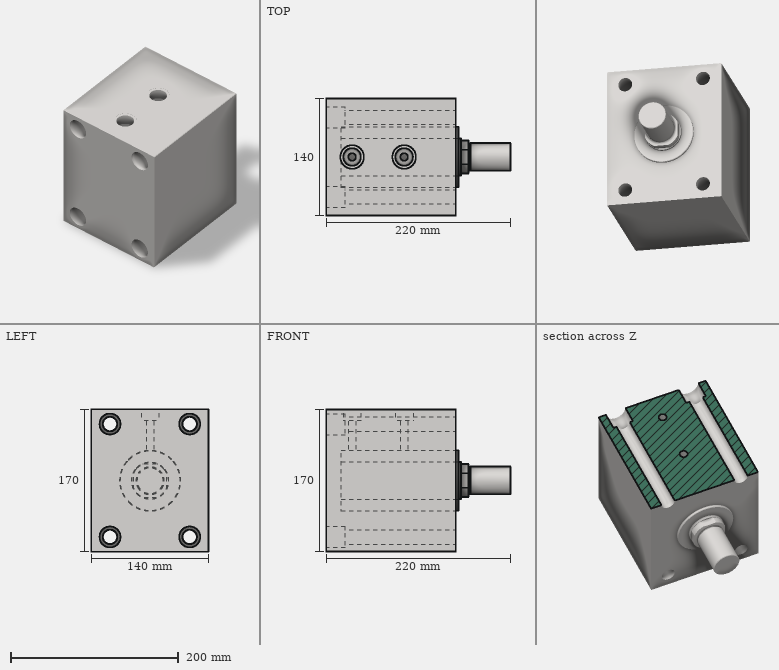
import cadquery as cq

block_length = 154.9
block_width = 140.0
block_height = 170.0
block_edge_chamfer = 0.7
block_top = block_height / 2
bore_axis_height = 0

mount_spacing_y = 95.0
mount_spacing_z = 134.6
mount_hole_diameter = 17.0
mount_counterbore_diameter = 25.0
mount_counterbore_depth = 22.0

port_positions_x = (31.0, 93.0)
port_spotface_diameter = 28.2
port_spotface_depth = 0.2
port_diameter = 21.1
port_depth = 12.8
port_passage_diameter = 9.0

gland_diameter = 72.5
gland_rear = 17.5
flange_length = 3.0
flange_chamfer = 0.7
gland_front = block_length + flange_length

rod_diameter = 44.5
rod_collar_length = 3.0
rod_collar_chamfer = 0.5
wrench_diameter = 43.1
wrench_across_flats = 39.5
wrench_length = 9.0
wrench_tip_diameter = 35.6
wrench_tip_length = 0.7
rod_shoulder = gland_front + rod_collar_length
rod_end = rod_shoulder + wrench_length

overall_length = 220.0
stud_diameter = 33.5
stud_chamfer = 0.7
stud_neck_diameter = 30.8
stud_neck_length = 1.5


def rod_cylinder(diameter, start, end):
    """Cylinder on the X axis between two X positions."""
    return cq.Workplane("YZ", origin=(start, 0, bore_axis_height)).circle(diameter / 2).extrude(end - start)


def vertical_cylinder(diameter, x, bottom, top):
    """Upright cylinder at Y = 0 between two heights."""
    return cq.Workplane("XY", origin=(x, 0, bottom)).circle(diameter / 2).extrude(top - bottom)


def make_port_cutter(x):
    """Spotface, port and the passage that leads down into the gland bore."""
    spotface_floor = block_top - port_spotface_depth
    port_floor = spotface_floor - port_depth
    spotface = vertical_cylinder(port_spotface_diameter, x, spotface_floor, block_top)
    port = vertical_cylinder(port_diameter, x, port_floor, spotface_floor)
    passage = vertical_cylinder(port_passage_diameter, x, bore_axis_height, port_floor)
    return spotface.union(port).union(passage)


def make_block():
    block = cq.Workplane("XY").box(block_length, block_width, block_height, centered=(False, True, True))
    block = block.faces("<Y").edges("|X").chamfer(block_edge_chamfer)
    block = (
        block.faces("<X").workplane(origin=(0, 0, 0))
        .rarray(mount_spacing_y, mount_spacing_z, 2, 2)
        .cboreHole(mount_hole_diameter, mount_counterbore_diameter, mount_counterbore_depth)
    )
    block = block.cut(rod_cylinder(gland_diameter, gland_rear, block_length))
    for x in port_positions_x:
        block = block.cut(make_port_cutter(x))
    return block


def make_gland():
    gland = rod_cylinder(gland_diameter, gland_rear, gland_front)
    gland = gland.faces(">X").edges().chamfer(flange_chamfer)
    return gland.cut(rod_cylinder(rod_diameter, gland_rear, gland_front))


def make_rod():
    rod = rod_cylinder(rod_diameter, gland_rear, rod_shoulder)
    rod = rod.faces(">X").edges().chamfer(rod_collar_chamfer)
    tip_drop = (wrench_diameter - wrench_tip_diameter) / 2
    wrench_end = rod_cylinder(wrench_diameter, rod_shoulder, rod_end)
    wrench_end = wrench_end.faces(">X").edges().chamfer(wrench_tip_length, tip_drop)
    square_bar = (
        cq.Workplane("YZ", origin=(rod_shoulder, 0, bore_axis_height))
        .rect(wrench_across_flats, wrench_across_flats)
        .extrude(wrench_length)
    )
    return rod.union(wrench_end.intersect(square_bar))


def make_stud():
    thread_start = rod_end + stud_neck_length
    neck = rod_cylinder(stud_neck_diameter, rod_end, thread_start)
    thread = rod_cylinder(stud_diameter, thread_start, overall_length)
    thread = thread.faces("<X or >X").edges().chamfer(stud_chamfer)
    return neck.union(thread)


block = make_block().solids()
gland = make_gland().solids()
rod = make_rod().solids()
stud = make_stud().solids()

result = cq.Compound.makeCompound([block.val(), gland.val(), rod.val(), stud.val()])